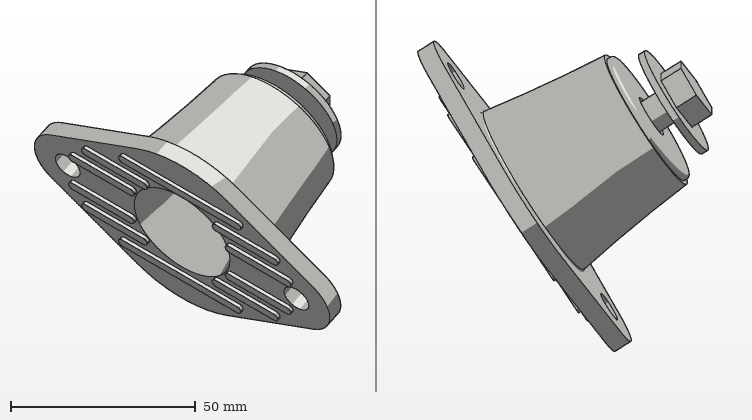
import cadquery as cq
import math


flange_length = 98.4
flange_height = 60.3
flange_thickness = 5.1
hole_offset = 38.1
hole_diameter = 8.3

rib_width = 2.8
rib_rise = 1.1
inner_rib_spacing = 12.7
long_rib_length = 40.7
short_rib_length = 21.85
inner_rib_center_x = 26.1
middle_rib_center_x = 21.8

cone_base_radius = 25.4
cone_top_radius = 20.7
cone_middle_radius = 22.6
cone_top_y = 41.6
cone_base_fillet = 0.6

collar_radius = 19.5
collar_height = 1.8
collar_fillet = 0.9

mouth_radius = 15.9
cavity_floor_radius = 10.0
cavity_depth = 30.0
cavity_fillet = 0.8

clearance_diameter = 11.9

washer_radius = 15.9
washer_thickness = 2.0
washer_y = 49.5

shank_diameter = 9.5
hex_across_corners = 17.7
bolt_head_end_y = 57.9

rib_pitch = inner_rib_spacing / 2

collar_top_y = cone_top_y + collar_height
head_y = washer_y + washer_thickness


def sketch_at(y):
    """Workplane facing -Y at the given height along the axis; local x is X, local y is Z."""
    return cq.Workplane("XZ", origin=(0, y, 0))


def disc(radius, y_start, y_end):
    return sketch_at(y_start).circle(radius).extrude(y_start - y_end)


def half_profile(y):
    """Start of a half section on the axis; local x is the radius, local y is Y."""
    return cq.Workplane("ZY").moveTo(0, y)


def spin(profile):
    return profile.close().revolve(360, (0, 0, 0), (0, 1, 0))


def flange():
    half_length = flange_length / 2
    side_radius = flange_height / 2
    end_radius = half_length - hole_offset
    lean = math.asin((side_radius - end_radius) / hole_offset)
    side_x = side_radius * math.sin(lean)
    side_z = side_radius * math.cos(lean)
    end_x = hole_offset + end_radius * math.sin(lean)
    end_z = end_radius * math.cos(lean)
    return (
        sketch_at(0)
        .moveTo(-side_x, side_z)
        .threePointArc((0, side_radius), (side_x, side_z))
        .lineTo(end_x, end_z)
        .threePointArc((half_length, 0), (end_x, -end_z))
        .lineTo(side_x, -side_z)
        .threePointArc((0, -side_radius), (-side_x, -side_z))
        .lineTo(-end_x, -end_z)
        .threePointArc((-half_length, 0), (-end_x, end_z))
        .close()
        .extrude(-flange_thickness)
    )


def cone():
    middle_y = (flange_thickness + cone_top_y) / 2
    return spin(
        half_profile(flange_thickness)
        .lineTo(cone_base_radius, flange_thickness)
        .threePointArc((cone_middle_radius, middle_y), (cone_top_radius, cone_top_y))
        .lineTo(0, cone_top_y)
    )


def flange_with_cone():
    body = flange().union(cone())
    reach = cone_base_radius + cone_base_fillet
    near_y = flange_thickness - cone_base_fillet
    far_y = flange_thickness + cone_base_fillet
    junction = cq.selectors.BoxSelector((-reach, near_y, -reach), (reach, far_y, reach), boundingbox=True)
    return body.edges(junction).fillet(cone_base_fillet)


def collar():
    return disc(collar_radius, cone_top_y, collar_top_y).faces(">Y").edges().fillet(collar_fillet)


def cavity():
    tool = spin(
        half_profile(0)
        .lineTo(mouth_radius, 0)
        .lineTo(cavity_floor_radius, cavity_depth)
        .lineTo(0, cavity_depth)
    )
    return tool.faces(">Y").edges().fillet(cavity_fillet)


def fixing_holes():
    return (
        sketch_at(0)
        .pushPoints([(-hole_offset, 0), (hole_offset, 0)])
        .circle(hole_diameter / 2)
        .extrude(-flange_thickness)
    )


def rib(length, x, row):
    """Round-ended rib in the given row; rows are counted from the middle, up or down."""
    return sketch_at(0).center(x, row * rib_pitch).slot2D(length, rib_width).extrude(rib_rise)


def ribs():
    pieces = []
    for side in (-1, 1):
        pieces.append(rib(long_rib_length, 0, 3 * side))
        for x_sign in (-1, 1):
            pieces.append(rib(short_rib_length, x_sign * middle_rib_center_x, 2 * side))
            pieces.append(rib(short_rib_length, x_sign * inner_rib_center_x, side))
    return pieces


def mount_body():
    body = flange_with_cone().union(collar())
    body = body.cut(cavity())
    body = body.cut(disc(clearance_diameter / 2, cavity_depth, collar_top_y))
    body = body.cut(fixing_holes())
    for piece in ribs():
        body = body.union(piece)
    return body


def washer_body():
    hole = disc(shank_diameter / 2, washer_y, head_y)
    return disc(washer_radius, washer_y, head_y).cut(hole)


def bolt_body():
    head = (
        sketch_at(head_y)
        .transformed(rotate=(0, 0, 90))
        .polygon(6, hex_across_corners)
        .extrude(head_y - bolt_head_end_y)
    )
    return head.union(disc(shank_diameter / 2, cavity_depth, head_y))


mount = mount_body().solids()
washer = washer_body().solids()
bolt = bolt_body().solids()

result = cq.Compound.makeCompound([mount.val(), washer.val(), bolt.val()])